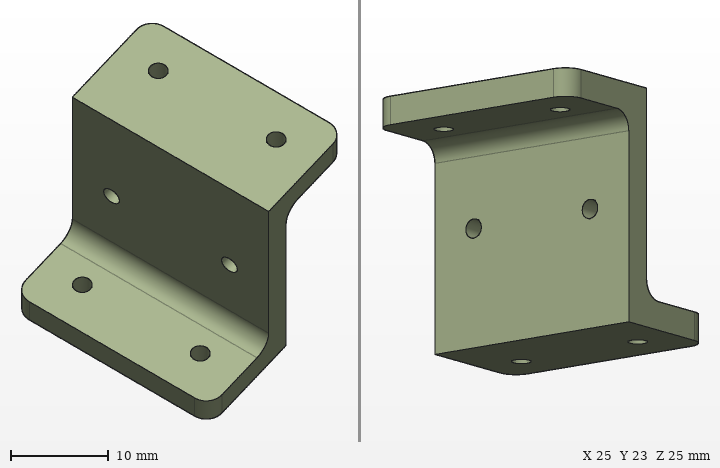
import cadquery as cq

width = 25.0
height = 25.0
thickness = 3.0
flange_reach = 10.0
bend_radius = 2.0
corner_radius = 2.0
hole_diameter = 2.0
hole_spacing = 15.0
hole_edge_distance = 5.0

web_face = thickness / 2
flange_end = web_face + flange_reach
hole_y = flange_end - hole_edge_distance


def make_body():
    """Z profile in the YZ plane, extruded symmetrically along X."""
    return (
        cq.Workplane("YZ")
        .moveTo(-flange_end, 0)
        .lineTo(web_face, 0)
        .lineTo(web_face, height - thickness - bend_radius)
        .radiusArc((web_face + bend_radius, height - thickness), bend_radius)
        .lineTo(flange_end, height - thickness)
        .lineTo(flange_end, height)
        .lineTo(-web_face, height)
        .lineTo(-web_face, thickness + bend_radius)
        .radiusArc((-web_face - bend_radius, thickness), bend_radius)
        .lineTo(-flange_end, thickness)
        .close()
        .extrude(width / 2, both=True)
    )


def round_flange_corners(body):
    """Round the vertical edges at the free end of each flange."""
    for end_face in ("<Y", ">Y"):
        body = body.faces(end_face).edges("|Z").fillet(corner_radius)
    return body


def make_holes():
    """Two through holes in the web and two in each flange."""
    hole_xs = (-hole_spacing / 2, hole_spacing / 2)
    flange_points = [(x, y) for x in hole_xs for y in (-hole_y, hole_y)]
    web_points = [(x, height / 2) for x in hole_xs]
    flange_holes = (
        cq.Workplane("XY")
        .pushPoints(flange_points)
        .circle(hole_diameter / 2)
        .extrude(height)
    )
    web_holes = (
        cq.Workplane("XZ")
        .pushPoints(web_points)
        .circle(hole_diameter / 2)
        .extrude(thickness, both=True)
    )
    return flange_holes.union(web_holes)


result = round_flange_corners(make_body()).cut(make_holes())